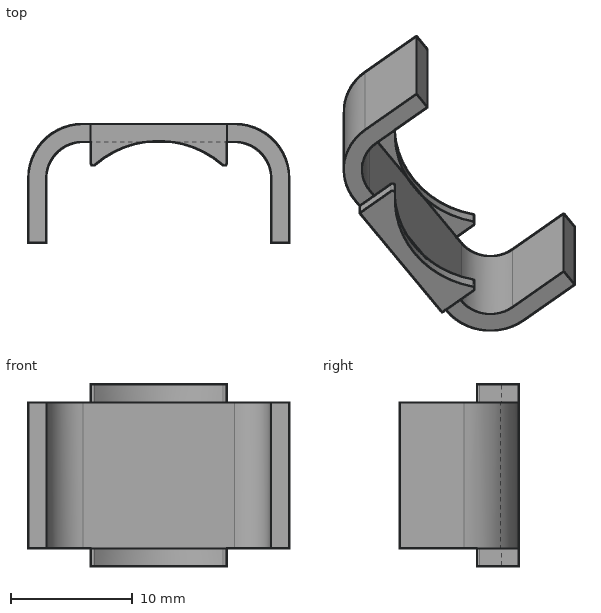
import cadquery as cq

clip_width = 21.5
clip_depth = 9.8
clip_height = 12.0
thickness = 1.5
outer_bend_radius = 4.5
inner_bend_radius = outer_bend_radius - thickness

plate_width = 11.2
plate_thickness = 1.5
plate_web = 1.42
scallop_radius = 8.0
tip_radius = 0.2


def make_clip():
    """Bent strip, made as a rounded block with a rounded channel cut from it."""
    block = (
        cq.Workplane("XY")
        .box(clip_width, clip_depth, clip_height, centered=(True, False, True))
        .translate((0, -clip_depth, 0))
        .edges("|Z and >Y")
        .fillet(outer_bend_radius)
    )
    channel = (
        cq.Workplane("XY")
        .box(clip_width - 2 * thickness, clip_depth, clip_height, centered=(True, False, True))
        .translate((0, -clip_depth - thickness, 0))
        .edges("|Z and >Y")
        .fillet(inner_bend_radius)
    )
    return block.cut(channel)


def make_plate(base_z):
    """Plate with a scalloped front edge and rounded tips, standing on base_z."""
    half_width = plate_width / 2
    scallop_center_y = -plate_web - scallop_radius
    tip_y = scallop_center_y + (scallop_radius**2 - half_width**2) ** 0.5
    return (
        cq.Workplane("XY", origin=(0, 0, base_z))
        .moveTo(-half_width, 0)
        .lineTo(half_width, 0)
        .lineTo(half_width, tip_y)
        .threePointArc((0, -plate_web), (-half_width, tip_y))
        .close()
        .extrude(plate_thickness)
        .edges("|Z and <Y")
        .fillet(tip_radius)
    )


top_plate = make_plate(clip_height / 2)
bottom_plate = make_plate(-clip_height / 2 - plate_thickness)

result = make_clip().union(top_plate).union(bottom_plate)